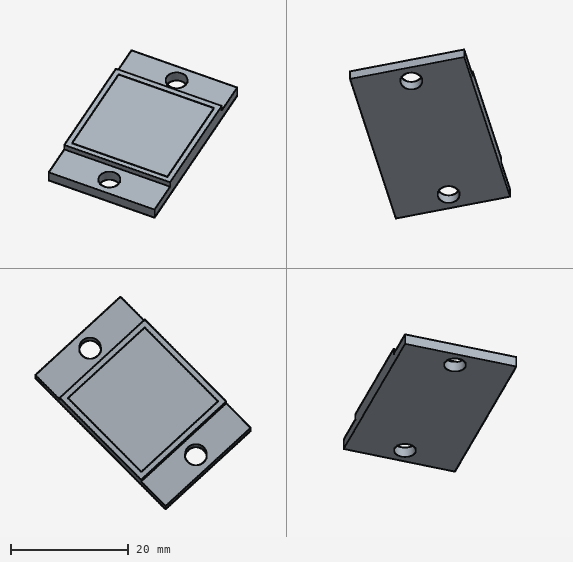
import cadquery as cq

length = 32.0
width = 20.0
total_height = 3.1
base_thickness = 2.0

pad_side = width
rim_width = 1.0
recess_side = pad_side - 2 * rim_width
recess_depth = 0.1

hole_diameter = 3.7
tab_length = (length - pad_side) / 2
hole_offset = length / 2 - tab_length / 2


def centred_block(size_x, size_y, height, bottom):
    """Block centred on the Z axis, rising from the given bottom level."""
    return cq.Workplane("XY").workplane(offset=bottom).rect(size_x, size_y).extrude(height)


base = centred_block(width, length, base_thickness, 0)
pad = centred_block(width, pad_side, total_height, 0)
recess = centred_block(recess_side, recess_side, recess_depth, total_height - recess_depth)
holes = (
    cq.Workplane("XY")
    .pushPoints([(0, -hole_offset), (0, hole_offset)])
    .circle(hole_diameter / 2)
    .extrude(base_thickness)
)

result = base.union(pad).cut(recess).cut(holes)